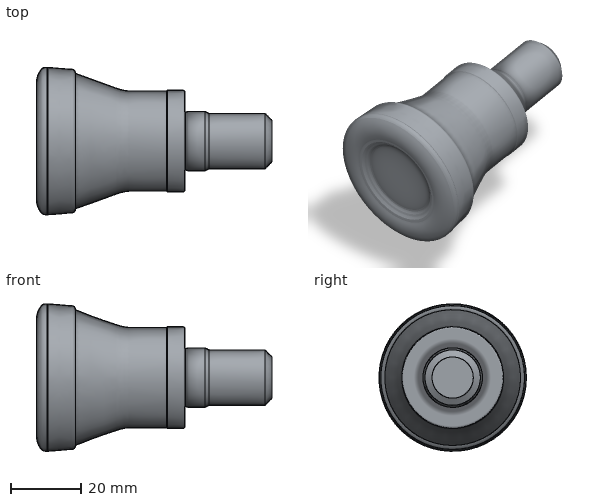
import cadquery as cq
import math

overall_length = 67.1

rim_radius = 21.0
dome_edge_x = 1.55
dome_edge_radius = 20.6
dome_round = 6.05
dome_inner_radius = 13.8
rim_round_end_x = 2.6

groove_start_x = 3.0
groove_end_x = 3.3
groove_depth = 0.15

rim_taper_end_x = 9.8
rim_taper_end_radius = 20.45
rim_back_x = 11.15
rim_back_radius = 19.3
rim_round_bulge = 0.3
flare_start_x = 11.95
flare_start_radius = 19.0
flare_end_x = 22.9
flare_end_radius = 15.0
waist_start_x = 26.3
waist_radius = 28.6 / 2
knob_back_x = 37.1

lip_end_x = 0.8
lip_end_radius = 12.95
ledge_start_x = 1.4
ledge_start_radius = 12.2
ledge_end_x = 1.7

core_radius = 11.7
face_x = 2.35
face_radius = 10.6
dish_wall_end_x = 2.2
dish_wall_end_radius = 11.1

collar_radius = 29.0 / 2
collar_back_x = 42.25
collar_front_chamfer = collar_radius - waist_radius
collar_back_round = 0.6

pilot_radius = 17.0 / 2
undercut_radius = 8.25
undercut_round = 0.2
undercut_start_x = collar_back_x + undercut_round
undercut_end_x = 43.25
pilot_end_x = 47.95
pin_start_x = 49.15
pin_radius = 15.75 / 2
pin_chamfer = 2.0


def revolve_about_x(profile):
    """Close a profile drawn as (x, radius) and turn it fully about the X axis."""
    return profile.close().revolve(360, (0, 0, 0), (1, 0, 0))


def make_knob():
    groove_mid_x = (groove_start_x + groove_end_x) / 2
    rim_round_x = (rim_taper_end_x + rim_back_x) / 2 + rim_round_bulge
    rim_round_radius = (rim_taper_end_radius + rim_back_radius) / 2 + rim_round_bulge
    dome_crest_radius = dome_edge_radius - math.sqrt(dome_round**2 - (dome_round - dome_edge_x) ** 2)
    dome_inner_x = dome_round - math.sqrt(dome_round**2 - (dome_crest_radius - dome_inner_radius) ** 2)
    rim_round_length = rim_round_end_x - dome_edge_x
    rim_round_height = rim_radius - dome_edge_radius
    rim_round = (rim_round_length**2 + rim_round_height**2) / (2 * rim_round_height)
    profile = (
        cq.Workplane("XY")
        .moveTo(ledge_end_x, core_radius)
        .lineTo(ledge_start_x, ledge_start_radius)
        .lineTo(lip_end_x, lip_end_radius)
        .lineTo(dome_inner_x, dome_inner_radius)
        .threePointArc((0, dome_crest_radius), (dome_edge_x, dome_edge_radius))
        .radiusArc((rim_round_end_x, rim_radius), rim_round)
        .lineTo(groove_start_x, rim_radius)
        .lineTo(groove_mid_x, rim_radius - groove_depth)
        .lineTo(groove_end_x, rim_radius)
        .lineTo(rim_taper_end_x, rim_taper_end_radius)
        .threePointArc((rim_round_x, rim_round_radius), (rim_back_x, rim_back_radius))
        .lineTo(flare_start_x, flare_start_radius)
        .lineTo(flare_end_x, flare_end_radius)
        .tangentArcPoint((waist_start_x, waist_radius), relative=False)
        .lineTo(knob_back_x, waist_radius)
        .lineTo(knob_back_x, core_radius)
    )
    return revolve_about_x(profile)


def make_spindle():
    profile = (
        cq.Workplane("XY")
        .moveTo(face_x, 0)
        .lineTo(face_x, face_radius)
        .lineTo(dish_wall_end_x, dish_wall_end_radius)
        .lineTo(ledge_end_x, core_radius)
        .lineTo(knob_back_x, core_radius)
        .lineTo(knob_back_x, waist_radius)
        .lineTo(knob_back_x + collar_front_chamfer, collar_radius)
        .lineTo(collar_back_x - collar_back_round, collar_radius)
        .radiusArc((collar_back_x, collar_radius - collar_back_round), collar_back_round)
        .lineTo(collar_back_x, undercut_radius + undercut_round)
        .radiusArc((undercut_start_x, undercut_radius), -undercut_round)
        .lineTo(undercut_end_x, pilot_radius)
        .lineTo(pilot_end_x, pilot_radius)
        .lineTo(pin_start_x, pin_radius)
        .lineTo(overall_length - pin_chamfer, pin_radius)
        .lineTo(overall_length, pin_radius - pin_chamfer)
        .lineTo(overall_length, 0)
    )
    return revolve_about_x(profile)


knob = make_knob()
spindle = make_spindle()
result = cq.Compound.makeCompound([knob.val(), spindle.val()])